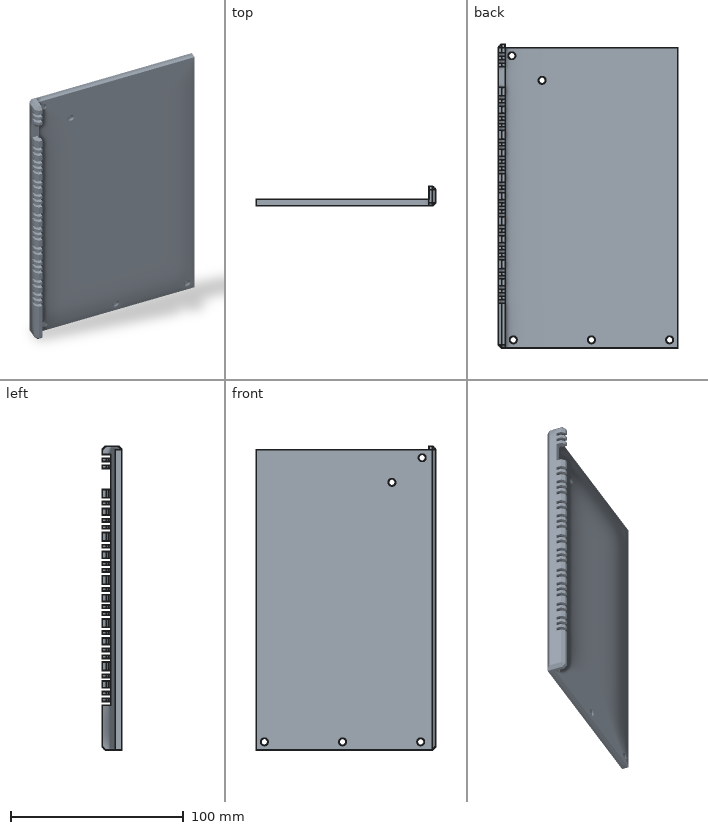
import cadquery as cq

PLATE_WIDTH = 100.0
PLATE_HEIGHT = 174.0
PLATE_THICKNESS = 4.0

RAIL_WIDTH = 4.0
RAIL_DEPTH = 11.5
RAIL_HEIGHT = 176.0
RAIL_CHAMFER = 2.0

COMB_DEPTH = 5.0
COMB_BOTTOM_Z = 26.0
SLOT = 2.0
WIDE_SLOT = 12.0
NARROW_TOOTH = 2.0
MEDIUM_TOOTH = 4.0
WIDE_TOOTH = 5.0
TOOTH_GROUP = (NARROW_TOOTH, NARROW_TOOTH, MEDIUM_TOOTH, NARROW_TOOTH, WIDE_TOOTH)
GROUP_COUNT = 5

V_GROOVE_DEPTH = 1.25

HOLE_DIAMETER = 4.0
HOLE_MARGIN = 4.75
UPPER_CORNER_HOLE_X = 96.1
INNER_HOLE = (78.6, 155.0)
HOLES = (
    (HOLE_MARGIN, HOLE_MARGIN),
    (PLATE_WIDTH / 2, HOLE_MARGIN),
    (PLATE_WIDTH - HOLE_MARGIN, HOLE_MARGIN),
    (UPPER_CORNER_HOLE_X, PLATE_HEIGHT - HOLE_MARGIN),
    INNER_HOLE,
)

COMB_STEPS = [(SLOT, tooth) for tooth in TOOTH_GROUP * GROUP_COUNT]
COMB_STEPS += [(WIDE_SLOT, NARROW_TOOTH), (SLOT, NARROW_TOOTH)]
COMB_HEIGHT = sum(slot + tooth for slot, tooth in COMB_STEPS) + SLOT
COMB_ROOT_Y = RAIL_DEPTH - COMB_DEPTH


def make_plate():
    plate = cq.Workplane("XY").box(PLATE_WIDTH, PLATE_THICKNESS, PLATE_HEIGHT, centered=False)
    drills = (
        cq.Workplane("XZ")
        .pushPoints(HOLES)
        .circle(HOLE_DIAMETER / 2)
        .extrude(-PLATE_THICKNESS)
    )
    return plate.cut(drills)


def make_rail_blank():
    blank = cq.Workplane("XY").box(RAIL_WIDTH, RAIL_DEPTH, RAIL_HEIGHT, centered=False)
    blank = blank.translate((PLATE_WIDTH, 0, 0))
    chamfered_edges = ">X or (|X and >Z) or (|X and >Y and <Z)"
    return blank.edges(chamfered_edges).chamfer(RAIL_CHAMFER)


def comb_slot(bottom_z, height):
    slot = cq.Workplane("XY").box(RAIL_WIDTH, COMB_DEPTH, height, centered=False)
    return slot.translate((PLATE_WIDTH, COMB_ROOT_Y, bottom_z))


def cut_comb(rail):
    z = COMB_BOTTOM_Z
    for slot_height, tooth_height in COMB_STEPS:
        rail = rail.cut(comb_slot(z, slot_height))
        z += slot_height + tooth_height
    return rail.cut(comb_slot(z, SLOT))


def cut_v_groove(rail):
    groove = (
        cq.Workplane("XY", origin=(PLATE_WIDTH, COMB_ROOT_Y, COMB_BOTTOM_Z))
        .polyline([(0, 0), (V_GROOVE_DEPTH, V_GROOVE_DEPTH), (0, 2 * V_GROOVE_DEPTH)])
        .close()
        .extrude(COMB_HEIGHT)
    )
    return rail.cut(groove)


rail = cut_v_groove(cut_comb(make_rail_blank()))
result = make_plate().union(rail)